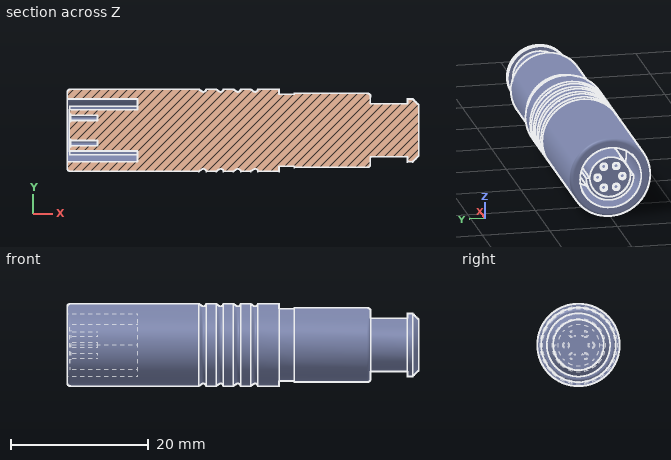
import cadquery as cq
import math

LENGTH = 51.0
EDGE_ROUND = 0.5

SLEEVE_END = 30.75
SLEEVE_RADIUS = 12.0 / 2
NECK_END = 32.9
NECK_RADIUS = 5.25
COLLAR_END = 44.0
COLLAR_RADIUS = 5.4
STEM_END = 49.3
STEM_RADIUS = 3.9
FLANGE_RADIUS = 4.6
FLANGE_CHAMFER = 0.9

GROOVE_COUNT = 4
FIRST_GROOVE_END = 20.15
GROOVE_PITCH = 2.5
GROOVE_RADIUS = 0.38
GROOVE_SLOPE = math.radians(35)

SOCKET_RADIUS = 4.55
SOCKET_DEPTH = 10.2
INSULATOR_RADIUS = 3.0
INSULATOR_RECESS = 0.3
KEY_RADIUS = 3.5
KEY_RECESS = 0.4

CONTACT_COUNT = 6
CONTACT_CIRCLE_RADIUS = 1.85
CONTACT_SEAT_RADIUS = 0.5
CONTACT_SEAT_DEPTH = 0.2
CONTACT_HOLE_RADIUS = 0.35
CONTACT_HOLE_DEPTH = 4.1


def cylinder(start, end, radius, y=0.0, z=0.0):
    """Solid cylinder along X from start to end."""
    return cq.Workplane("YZ", origin=(start, y, z)).circle(radius).extrude(end - start)


def make_outside():
    sleeve = cylinder(0, SLEEVE_END, SLEEVE_RADIUS).faces("<X").edges().fillet(EDGE_ROUND)
    neck = cylinder(SLEEVE_END, NECK_END, NECK_RADIUS)
    collar = cylinder(NECK_END, COLLAR_END, COLLAR_RADIUS).faces(">X").edges().fillet(EDGE_ROUND)
    stem = cylinder(COLLAR_END, STEM_END, STEM_RADIUS)
    flange = cylinder(STEM_END, LENGTH, FLANGE_RADIUS).faces(">X").edges().chamfer(FLANGE_CHAMFER)
    return sleeve.union(neck).union(collar).union(stem).union(flange)


def make_groove(end):
    """Ring to remove; the round bottom is centred on the sleeve surface and tangent to the flank."""
    center = end - GROOVE_RADIUS
    start = center - GROOVE_RADIUS / math.sin(GROOVE_SLOPE)

    def bottom_point(angle):
        """Point on the round bottom, with the angle measured from straight down toward -X."""
        return (
            center - GROOVE_RADIUS * math.sin(angle),
            SLEEVE_RADIUS - GROOVE_RADIUS * math.cos(angle),
        )

    clear_radius = SLEEVE_RADIUS + GROOVE_RADIUS
    return (
        cq.Workplane("XY")
        .moveTo(start, SLEEVE_RADIUS)
        .lineTo(*bottom_point(GROOVE_SLOPE))
        .threePointArc(bottom_point(0), (end, SLEEVE_RADIUS))
        .lineTo(end, clear_radius)
        .lineTo(start, clear_radius)
        .close()
        .revolve(360, (0, 0, 0), (1, 0, 0))
    )


def make_key():
    """Half ring around the lower side of the insulator, reaching from the socket floor."""
    ring = cylinder(KEY_RECESS, SOCKET_DEPTH, KEY_RADIUS)
    lower_half = cq.Workplane("XY").box(
        SOCKET_DEPTH, 2 * KEY_RADIUS, KEY_RADIUS, centered=(False, True, False)
    ).translate((0, 0, -KEY_RADIUS))
    return ring.intersect(lower_half)


def make_contact(index):
    angle = 2 * math.pi * index / CONTACT_COUNT
    y = CONTACT_CIRCLE_RADIUS * math.cos(angle)
    z = CONTACT_CIRCLE_RADIUS * math.sin(angle)
    face = INSULATOR_RECESS
    seat = cylinder(face, face + CONTACT_SEAT_DEPTH, CONTACT_SEAT_RADIUS, y, z)
    hole = cylinder(face, face + CONTACT_HOLE_DEPTH, CONTACT_HOLE_RADIUS, y, z)
    return seat.union(hole)


result = make_outside()
for index in range(GROOVE_COUNT):
    result = result.cut(make_groove(FIRST_GROOVE_END + index * GROOVE_PITCH))

insulator = cylinder(INSULATOR_RECESS, SOCKET_DEPTH, INSULATOR_RADIUS)
result = result.cut(cylinder(0, SOCKET_DEPTH, SOCKET_RADIUS))
result = result.union(insulator).union(make_key())
for index in range(CONTACT_COUNT):
    result = result.cut(make_contact(index))